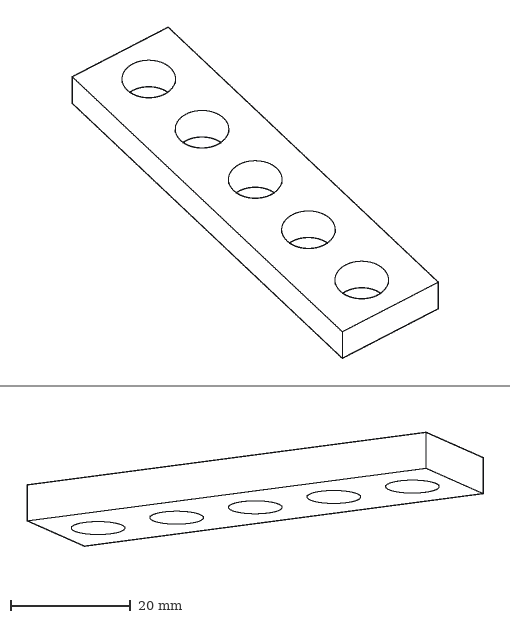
import cadquery as cq

length = 76.0
width = 20.0
thickness = 6.2

hole_count = 5
hole_diameter = 9.0
hole_pitch = 15.0

bar = cq.Workplane("XY").box(length, width, thickness)

result = (
    bar.faces(">Z")
    .workplane()
    .rarray(hole_pitch, width, hole_count, 1)
    .hole(hole_diameter)
)